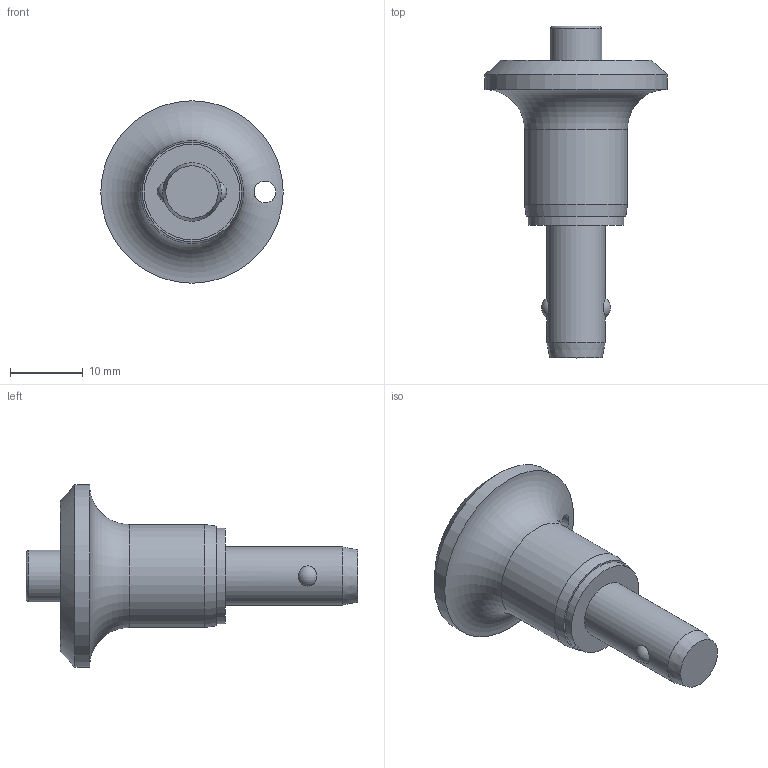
import cadquery as cq


shank_radius = 4.0
shank_length = 18.2
tip_radius = 3.6
tip_length = 2.1

ball_radius = 1.45
ball_reach = 4.75
ball_to_tip = 6.9

nose_radius = 6.55
nose_length = 1.2
grip_radius = 7.05
grip_end_radius = 6.82
grip_taper_length = 1.65
grip_length = 10.3
flange_radius = 12.5
flange_rim_length = 2.0
flange_bevel_length = 2.0
flange_top_radius = 10.4
flare_radius = flange_radius - grip_radius

button_radius = 3.55
button_length = 4.7
button_edge_fillet = 0.4

lanyard_hole_diameter = 3.0
lanyard_hole_offset = 10.0

tip_y = -shank_length
taper_start_y = nose_length
grip_start_y = taper_start_y + grip_taper_length
flare_start_y = grip_start_y + grip_length
rim_start_y = flare_start_y + flare_radius
bevel_start_y = rim_start_y + flange_rim_length
flange_top_y = bevel_start_y + flange_bevel_length


def make_shank():
    """Shank with a tapered tip, running up to the shoulder."""
    profile = (
        cq.Workplane("XY")
        .moveTo(0, tip_y)
        .lineTo(tip_radius, tip_y)
        .lineTo(shank_radius, tip_y + tip_length)
        .lineTo(shank_radius, taper_start_y)
        .lineTo(0, taper_start_y)
        .close()
    )
    return profile.revolve(360, (0, 0, 0), (0, 1, 0))


def make_handle():
    """Nose, grip, flare and bevelled flange turned as one profile."""
    flare_center = (flange_radius, flare_start_y)
    diagonal = flare_radius * 0.5 ** 0.5
    flare_middle = (flare_center[0] - diagonal, flare_center[1] + diagonal)
    profile = (
        cq.Workplane("XY")
        .moveTo(0, 0)
        .lineTo(nose_radius, 0)
        .lineTo(nose_radius, taper_start_y)
        .lineTo(grip_end_radius, taper_start_y)
        .lineTo(grip_radius, grip_start_y)
        .lineTo(grip_radius, flare_start_y)
        .threePointArc(flare_middle, (flange_radius, rim_start_y))
        .lineTo(flange_radius, bevel_start_y)
        .lineTo(flange_top_radius, flange_top_y)
        .lineTo(0, flange_top_y)
        .close()
    )
    return profile.revolve(360, (0, 0, 0), (0, 1, 0))


def cylinder_along_y(radius, start_y, length, x=0):
    """Cylinder parallel to Y, growing toward +Y from start_y."""
    return cq.Workplane(cq.Solid.makeCylinder(radius, length, cq.Vector(x, start_y, 0), cq.Vector(0, 1, 0)))


def make_button():
    """Push button standing on the flange, with a rounded outer edge."""
    button = cylinder_along_y(button_radius, flange_top_y, button_length)
    return button.faces(">Y").edges().fillet(button_edge_fillet)


def make_ball(side):
    """Locking ball on the +X (side = 1) or -X (side = -1) flank of the shank."""
    ball_x = side * (ball_reach - ball_radius)
    return cq.Workplane("XY").sphere(ball_radius).translate((ball_x, tip_y + ball_to_tip, 0))


result = make_shank().union(make_handle()).union(make_button())
for side in (-1, 1):
    result = result.union(make_ball(side))

lanyard_hole = cylinder_along_y(
    lanyard_hole_diameter / 2,
    flare_start_y,
    flange_top_y - flare_start_y,
    lanyard_hole_offset,
)
result = result.cut(lanyard_hole)